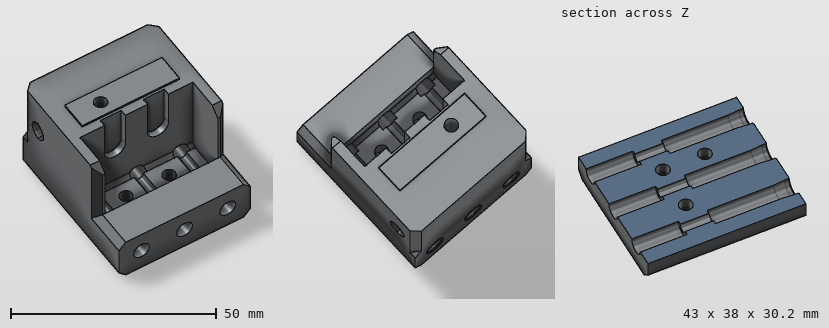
import cadquery as cq
import math

length = 43.0
width = 38.0
overall_height = 30.25
pad_height = 0.5
body_height = overall_height - pad_height

block_length = 32.6
shelf_height = 12.25
foot_height = 12.45
foot_length = block_length / 2
edge_chamfer = 1.98
top_bevel = 2.5

pad_start = 11.05
pad_length = 7.8
pad_width = 28.12

pocket_start = 21.35
pocket_width = 32.6
pocket_floor = 6.25
floor_chamfer = 1.1

bore_pitch = 12.45
bore_axis_height = pocket_floor
bore_diameter = 4.5
recess_diameter = 5.05
recess_depth = 1.38
mouth_diameter = 5.6
taper_length = 3.0
groove_diameter = 2.5
groove_start = 22.5
groove_end = 30.3

hole_diameter = 3.5
side_offset = bore_pitch / 2
pad_hole_x = 14.95
pocket_hole_x = 26.35
notch_diameter = 6.0
notch_start = 19.5
notch_axis_height = 19.18

cross_hole_diameter = 5.05
cross_hole_x = 6.6
cross_hole_height = notch_axis_height
peak_slope = 20.0


def box(x_start, x_end, y_size, z_start, z_end):
    """Box centred on Y between the given X and Z limits."""
    return cq.Workplane("XY").box(
        x_end - x_start, y_size, z_end - z_start, centered=(False, True, False)
    ).translate((x_start, 0, z_start))


def x_cylinder(diameter, x_start, x_end, y, z):
    """Cylinder along X."""
    return (
        cq.Workplane("YZ", origin=(x_start, y, z))
        .circle(diameter / 2)
        .extrude(x_end - x_start)
    )


def x_cone(start_diameter, end_diameter, x_start, x_end, y, z):
    """Cone along X."""
    return (
        cq.Workplane("YZ", origin=(x_start, y, z))
        .circle(start_diameter / 2)
        .workplane(offset=x_end - x_start)
        .circle(end_diameter / 2)
        .loft()
    )


def z_hole(x, y):
    """Vertical hole cutter through the whole height."""
    return cq.Workplane("XY").center(x, y).circle(hole_diameter / 2).extrude(overall_height)


def make_slab(slab_length, slab_height):
    """Slab from the X = 0 end, with all four lengthwise edges chamfered."""
    return box(0, slab_length, width, 0, slab_height).edges("|X").chamfer(edge_chamfer)


def make_block():
    """Tall block with chamfered upright corners and a bevelled top end."""
    block = box(0, block_length, width, shelf_height - edge_chamfer, body_height)
    block = block.edges("|Z").chamfer(edge_chamfer)
    return block.faces(">Z").edges(">X").chamfer(top_bevel)


def make_pad():
    """Thin raised pad on the top face."""
    return box(pad_start, pad_start + pad_length, pad_width, body_height, overall_height)


def make_pocket():
    """Pocket cutter, chamfered along both ends of its floor."""
    pocket = box(pocket_start, block_length, pocket_width, pocket_floor, overall_height)
    return pocket.faces("<Z").edges("|Y").chamfer(floor_chamfer)


def make_bore(y):
    """Bore with a chamfered, tapering mouth, joined to a groove in the pocket floor."""
    z = bore_axis_height
    mouth_depth = (mouth_diameter - recess_diameter) / 2
    taper_end = recess_depth + taper_length
    return (
        x_cone(mouth_diameter, recess_diameter, 0, mouth_depth, y, z)
        .union(x_cylinder(recess_diameter, mouth_depth, recess_depth, y, z))
        .union(x_cone(recess_diameter, bore_diameter, recess_depth, taper_end, y, z))
        .union(x_cylinder(bore_diameter, taper_end, groove_start, y, z))
        .union(x_cylinder(groove_diameter, groove_start, groove_end, y, z))
        .union(x_cylinder(bore_diameter, groove_end, length, y, z))
    )


def make_notch(y):
    """Round-bottomed notch in the pocket wall, open at the top."""
    slot = box(notch_start, pocket_start, notch_diameter, notch_axis_height, body_height)
    return slot.translate((0, y, 0)).union(
        x_cylinder(notch_diameter, notch_start, pocket_start, y, notch_axis_height)
    )


def make_cross_hole():
    """Round hole along Y whose top and bottom rise to a shallow peak."""
    radius = cross_hole_diameter / 2
    slope = math.radians(peak_slope)
    tangent_x = radius * math.sin(slope)
    tangent_z = radius * math.cos(slope)
    peak_z = radius / math.cos(slope)
    return (
        cq.Workplane("XZ", origin=(cross_hole_x, width / 2, cross_hole_height))
        .moveTo(tangent_x, tangent_z)
        .lineTo(0, peak_z)
        .lineTo(-tangent_x, tangent_z)
        .threePointArc((-radius, 0), (-tangent_x, -tangent_z))
        .lineTo(0, -peak_z)
        .lineTo(tangent_x, -tangent_z)
        .threePointArc((radius, 0), (tangent_x, tangent_z))
        .close()
        .extrude(width)
    )


result = make_slab(length, shelf_height).union(make_slab(foot_length, foot_height))
result = result.union(make_block()).union(make_pad())

result = result.cut(make_pocket()).cut(make_cross_hole())

for bore_y in (-bore_pitch, 0, bore_pitch):
    result = result.cut(make_bore(bore_y))

for hole_y in (-side_offset, side_offset):
    result = result.cut(make_notch(hole_y)).cut(z_hole(pocket_hole_x, hole_y))

result = result.cut(z_hole(pad_hole_x, -side_offset))